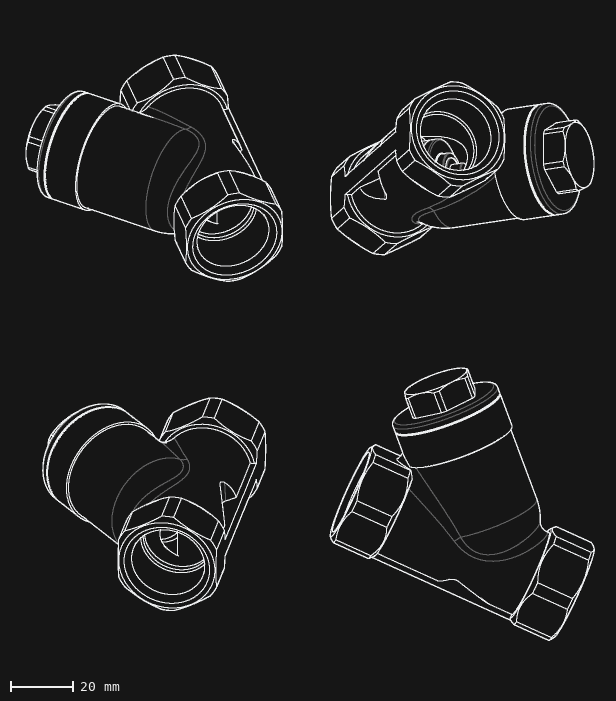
import cadquery as cq
import math

length = 79.0
half_length = length / 2
pipe_radius = 14.45
hex_flats = 32.15
hex_round_radius = 17.5
hex_length = 15.3
hex_end_radius = 15.8
outer_chamfer = 1.3
inner_chamfer = 1.65

mouth_radius = 14.1
thread_radius = 12.0
thread_depth = 16.2
bore_radius = 11.3
bore_step = 0.6
outlet_bore_end_x = 20.55

rib_half_height = 3.1
pocket_edge_y = 14.15
pocket_tip_x = 1.8
pocket_right_x = 15.95
pocket_right_slope = 0.27
pocket_tip_radius = 2.4
pocket_draft = 6.0
pocket_overrun = 3.15

branch_offset_x = 14.45
branch_radius = 17.2
collar_radius = 18.0
dome_end = 1.6
dome_curve = 18.1
dome_start = 15.3
collar_start = 40.8
collar_end = 52.0
crotch_fillet = 3.95

seat_station = 6.9
chamber_radius = 13.8
seat_hole_radius = 8.7
seat_hole_end = -3.95

gasket_thickness = 0.4
gasket_radius = 17.6
flange_radius = 18.0
flange_end = 55.4
flange_fillet = 1.0
plug_end = 41.9
cap_hex_flats = 21.25
cap_hex_round_radius = 11.8
cap_tip = 63.2
cap_chamfer = 0.8

disc_radius = 11.85
seat_ring_end = 8.85
disc_end = 11.8
plate_end = 14.8
disc_fillet = 0.3
plate_fillet = 0.5

washer_radius = 7.1
washer_end = 15.1
nut_radius = 6.9
nut_end = 17.8
boss_radius = 5.2
boss_end = 18.2
stem_radius = 3.0
stem_end = 22.1
retainer_fillet = 0.2


branch_frame = cq.Plane(origin=(branch_offset_x, 0, 0), xDir=(0, 0, 1), normal=(-1, -1, 0))


def on_branch(upright):
    return cq.Workplane(upright.val().moved(cq.Location(branch_frame)))


def cylinder(start, end, radius):
    return cq.Workplane("XY", origin=(0, 0, start)).circle(radius).extrude(end - start)


def along_x(start, end, radius):
    return cq.Workplane("YZ", origin=(start, 0, 0)).circle(radius).extrude(end - start)


def turned(points):
    """Solid turned about Z from (radius, height) points."""
    return cq.Workplane("XZ").polyline(points).close().revolve(360, (0, 0), (0, 1))


def hexagon(flats, start, end):
    corner_diameter = flats / math.cos(math.pi / 6)
    return cq.Workplane("XY", origin=(0, 0, start)).polygon(6, corner_diameter).extrude(end - start)


def end_hexagon():
    """Wrench hexagon of one port, upright, with its open end at height zero."""
    envelope = turned([
        (0, 0),
        (hex_end_radius, 0),
        (hex_round_radius, outer_chamfer),
        (hex_round_radius, hex_length - inner_chamfer),
        (hex_end_radius, hex_length),
        (0, hex_length),
    ])
    return hexagon(hex_flats, 0, hex_length).intersect(envelope)


def port_bore(depth):
    """Chamfered threaded mouth and bore of one port, upright, opening at height zero."""
    return turned([
        (0, 0),
        (mouth_radius, 0),
        (thread_radius, mouth_radius - thread_radius),
        (thread_radius, thread_depth),
        (bore_radius, thread_depth + bore_step),
        (bore_radius, depth),
        (0, depth),
    ])


def at_left_end(upright):
    return upright.rotate((0, 0, 0), (0, 1, 0), 90).translate((-half_length, 0, 0))


def at_right_end(upright):
    return upright.rotate((0, 0, 0), (0, 1, 0), -90).translate((half_length, 0, 0))


def branch_barrel():
    """Barrel of the branch, closed by a domed shoulder that runs into the pipe."""

    def dome_radius_at(station):
        return branch_radius - dome_curve + math.sqrt(dome_curve**2 - (dome_start - station) ** 2)

    dome_middle = (dome_start + dome_end) / 2
    profile = (
        cq.Workplane("XZ")
        .moveTo(0, collar_end)
        .lineTo(branch_radius, collar_end)
        .lineTo(branch_radius, dome_start)
        .threePointArc((dome_radius_at(dome_middle), dome_middle), (dome_radius_at(dome_end), dome_end))
        .lineTo(0, dome_end)
        .close()
    )
    return on_branch(profile.revolve(360, (0, 0), (0, 1)).rotate((0, 0, 0), (0, 0, 1), -90))


def outer_casting():
    pipe = along_x(-half_length, half_length, pipe_radius)
    casting = pipe.union(branch_barrel())
    crotch = [edge for edge in casting.edges().vals() if edge.geomType() == "BSPLINE"]
    casting = casting.newObject(crotch).fillet(crotch_fillet)
    collar = on_branch(cylinder(collar_start, collar_end, collar_radius))
    rib = cq.Workplane("XY").box(
        length - hex_length, hex_flats / 2, 2 * rib_half_height, centered=(True, False, True)
    )
    return (
        casting.union(collar)
        .union(rib)
        .union(at_left_end(end_hexagon()))
        .union(at_right_end(end_hexagon()))
    )


def side_pocket():
    """Drafted pocket behind the seat wall, sunk to the top of the rib."""
    depth = pipe_radius
    open_y = pocket_edge_y + pocket_overrun
    tip_y = pocket_edge_y - pocket_right_slope * (pocket_right_x - pocket_tip_x)
    rise = open_y - tip_y
    corners = [
        (pocket_tip_x, tip_y),
        (pocket_tip_x + rise / pocket_right_slope, open_y),
        (pocket_tip_x - rise, open_y),
    ]
    outline = cq.Wire.makePolygon([cq.Vector(x, y) for x, y in corners], close=True)
    tip = min(outline.Vertices(), key=lambda vertex: vertex.Y)
    rounded = outline.fillet2D(pocket_tip_radius, [tip])
    pocket = cq.Workplane("XY").newObject([rounded]).toPending().extrude(depth, taper=-pocket_draft)
    return pocket.translate((0, 0, rib_half_height))


def cavity():
    """Inlet side, chamber, seat hole and outlet side."""
    cap_side = on_branch(cylinder(seat_station, seat_station + 2 * length, 2 * length))
    inlet = at_left_end(port_bore(length)).intersect(cap_side)
    chamber = on_branch(cylinder(seat_station, collar_end, chamber_radius))
    outlet = at_right_end(port_bore(half_length - outlet_bore_end_x))
    seat_hole = on_branch(cylinder(seat_hole_end, seat_station, seat_hole_radius))
    return inlet, chamber, outlet, seat_hole


def make_body():
    body = outer_casting()
    pocket = side_pocket()
    body = body.cut(pocket).cut(pocket.mirror("XY"))
    for void in cavity():
        body = body.cut(void)
    return body


def make_gasket():
    ring = cylinder(collar_end, collar_end + gasket_thickness, gasket_radius)
    return on_branch(ring.cut(cylinder(collar_end, flange_end, chamber_radius)))


def make_cap():
    flange = cylinder(collar_end + gasket_thickness, flange_end, flange_radius)
    flange = flange.faces(">Z").edges().fillet(flange_fillet)
    plug = cylinder(plug_end, flange_end, chamber_radius)
    hex_envelope = turned([
        (0, flange_end),
        (cap_hex_round_radius, flange_end),
        (cap_hex_round_radius, cap_tip - cap_chamfer),
        (cap_hex_flats / 2, cap_tip),
        (0, cap_tip),
    ])
    wrench_hex = hexagon(cap_hex_flats, flange_end, cap_tip).intersect(hex_envelope)
    return on_branch(flange.union(plug).union(wrench_hex))


def make_seat_ring():
    ring = cylinder(seat_station, seat_ring_end, disc_radius)
    return on_branch(ring.cut(cylinder(seat_station, seat_ring_end, seat_hole_radius)))


def make_disc():
    return on_branch(cylinder(seat_ring_end, disc_end, disc_radius).faces(">Z").edges().fillet(disc_fillet))


def make_plate():
    plate = cylinder(disc_end, plate_end, disc_radius)
    plate = plate.faces("<Z").edges().fillet(disc_fillet)
    return on_branch(plate.faces(">Z").edges().fillet(plate_fillet))


def make_retainer():
    """Stepped retainer: washer, nut, boss and stem, each step rounded at its rim."""
    retainer = cq.Workplane("XY")
    steps = [(washer_radius, washer_end), (nut_radius, nut_end), (boss_radius, boss_end), (stem_radius, stem_end)]
    for radius, end in steps:
        retainer = retainer.union(cylinder(plate_end, end, radius).faces(">Z").edges().fillet(retainer_fillet))
    return on_branch(retainer)


body = make_body()
cap = make_cap()
gasket = make_gasket()
seat_ring = make_seat_ring()
disc = make_disc()
plate = make_plate()
retainer = make_retainer()

result = cq.Compound.makeCompound([
    body.val(),
    cap.val(),
    gasket.val(),
    seat_ring.val(),
    disc.val(),
    plate.val(),
    retainer.val(),
])